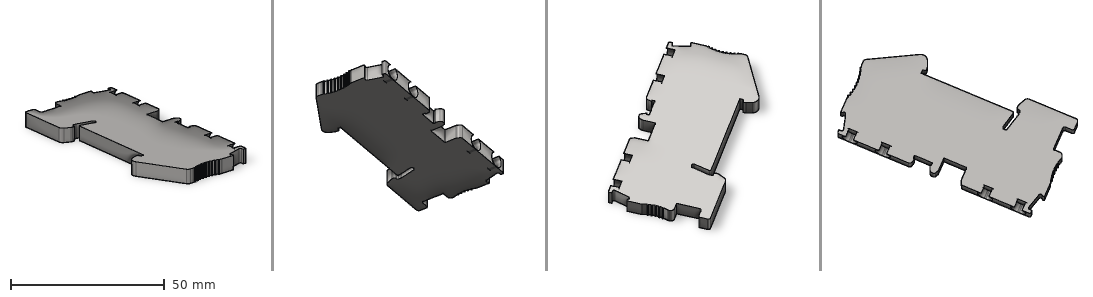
import cadquery as cq
import math

thickness = 5.1
body_left = -36.1
body_right = 36.05
top = 17.6
bottom = -17.6

hook_tip = 34.25
hook_underside = 16.3
hook_root = 32.7
gap_floor_x = 34.5
gap_floor = 9.8
ear_x = 35.55
ear_top = 10.6

pocket_left = -9.0
pocket_right = -0.95
pocket_floor = 11.55
pocket_lead_in = 16.1
recess_left = 1.9
recess_right = 8.2
recess_floor = 14.5
recess_lip = 15.45
lip_overhang = 0.5
pocket_shoulder = -9.75
finger_crest_left = -0.2
finger_crest_right = 1.4
recess_shoulder = 8.15

foot_notch_top = -5.2
foot_notch_bottom = -13.65
foot_notch_wall = -32.5
foot_toe_x = -16.2
foot_shelf = -13.0
foot_toe_bend = -14.3
foot_heel = -17.7

slot_left_bottom = -17.5
slot_left_top = -15.9
slot_right_top = -14.3
slot_right_bottom = -15.8
slot_top = -5.05
slot_bend = -11.4
rail_seat = -11.7

rail_hook_root = 17.1
rail_hook_tip = 16.0
rail_hook_shelf = foot_shelf
rail_hook_bend = -14.15
rail_hook_nose = (17.6, -18.6)
ramp_top = -8.5

left_bay_y = 1.1
left_bay_radius = 13.0
left_bay_depth = 0.8
left_rib_count = 5
right_bay_y = -0.4
right_bay_radius = 15.5
right_bay_depth = 1.15
right_rib_count = 9
rib_pitch = 1.3
rib_height = 0.35
rib_base = 0.6
rib_crest = 0.3
bay_blend = 1.0

hole_offsets = (18.1, 29.9)
hole_radius = 2.7
hole_mouth = 2.75
hole_depth = 2.95
hole_flat = 0.6


def rounded_plate(corners):
    """Plate from (x, y, radius) corners; each nonzero radius becomes a tangent arc."""
    path = None
    for i, (x, y, radius) in enumerate(corners):
        before = cq.Vector(*corners[i - 1][:2])
        after = cq.Vector(*corners[(i + 1) % len(corners)][:2])
        corner = cq.Vector(x, y)
        to_before = (before - corner).normalized()
        to_after = (after - corner).normalized()
        half_angle = to_before.getAngle(to_after) / 2
        setback = radius / math.tan(half_angle)
        start = corner + to_before * setback
        path = path.lineTo(start.x, start.y) if path else cq.Workplane("XY").moveTo(start.x, start.y)
        if radius > 0:
            bisector = (to_before + to_after).normalized()
            middle = corner + bisector * (radius / math.sin(half_angle) - radius)
            end = corner + to_after * setback
            path = path.threePointArc((middle.x, middle.y), (end.x, end.y))
    return path.close().extrude(thickness)


def marker_hook(side, wall):
    """Corners of one upper hook, from its tip down to the side wall; side is -1 or 1."""
    return [
        (side * hook_tip, top, 0.5),
        (side * hook_tip, hook_underside, 0),
        (side * hook_root, hook_underside, 0.5),
        (side * gap_floor_x, gap_floor, 0.6),
        (side * ear_x, ear_top, 0.2),
        (wall, ear_top, 0),
    ]


left_side = marker_hook(-1, body_left) + [
    (body_left, foot_notch_top, 1.3),
    (foot_notch_wall, foot_notch_top, 0),
    (foot_notch_wall, foot_notch_bottom, 0.65),
    (body_left, foot_notch_bottom, 0.65),
    (body_left, bottom, 0.9),
]
lower_side = [
    (foot_heel, bottom, 1.6),
    (foot_toe_x, foot_toe_bend, 1.1),
    (foot_toe_x, foot_shelf, 0.4),
    (slot_left_bottom, foot_shelf, 0.4),
    (slot_left_bottom, slot_bend, 1.1),
    (slot_left_top, slot_top, 0.65),
    (slot_right_top, slot_top, 0.65),
    (slot_right_bottom, rail_seat, 0.4),
    (rail_hook_root, rail_seat, 0),
    (rail_hook_root, rail_hook_shelf, 0.35),
    (rail_hook_tip, rail_hook_shelf, 0.3),
    (rail_hook_tip, rail_hook_bend, 1.1),
    (*rail_hook_nose, 2.3),
    (body_right, ramp_top, 1.3),
]
upper_side = marker_hook(1, body_right)[::-1] + [
    (recess_shoulder, top, 1.1),
    (recess_right - lip_overhang, recess_lip, 0),
    (recess_right, recess_lip, 0),
    (recess_right, recess_floor, 0),
    (recess_left, recess_floor, 0),
    (recess_left, recess_lip, 0),
    (recess_left + lip_overhang, recess_lip, 0),
    (finger_crest_right, top, 1.1),
    (finger_crest_left, top, 0.7),
    (pocket_right, pocket_lead_in, 1.1),
    (pocket_right, pocket_floor, 0),
    (pocket_left, pocket_floor, 0),
    (pocket_left, pocket_lead_in, 1.1),
    (pocket_shoulder, top, 0.7),
]


def grip_bay(plate, wall, side, bay_y, radius, depth, rib_count):
    """Cut a shallow round bay into a side wall, round its rims and stand ribs around it."""
    center_x = wall + side * (radius - depth)
    plate = plate.cut(cq.Workplane("XY").center(center_x, bay_y).circle(radius).extrude(thickness))
    half_chord = math.sqrt(radius**2 - (radius - depth) ** 2)
    for end in (-1, 1):
        rim = cq.selectors.NearestToPointSelector((wall, bay_y + end * half_chord, thickness / 2))
        plate = plate.edges("|Z").edges(rim).fillet(bay_blend)
    foot_x = radius + rib_height / 2
    crest_x = radius - rib_height
    rib = (
        cq.Workplane("XY")
        .polyline([
            (-foot_x, -rib_base / 2),
            (-crest_x, -rib_crest / 2),
            (-crest_x, rib_crest / 2),
            (-foot_x, rib_base / 2),
        ])
        .close()
        .extrude(thickness)
    )
    facing = 0 if side > 0 else 180
    pitch_angle = math.degrees(rib_pitch / radius)
    for i in range(rib_count):
        angle = facing + (i - (rib_count - 1) / 2) * pitch_angle
        placed = rib.rotate((0, 0, 0), (0, 0, 1), angle).translate((center_x, bay_y, 0))
        plate = plate.union(placed)
    return plate


def wire_hole(x):
    """Blind round hole along Y with a narrow flat on its underside."""
    axis_z = thickness - math.sqrt(hole_radius**2 - (hole_mouth / 2) ** 2)
    flat_z = axis_z - math.sqrt(hole_radius**2 - (hole_flat / 2) ** 2)
    profile = (
        cq.Workplane("XZ", origin=(x, top, 0))
        .moveTo(-hole_flat / 2, flat_z)
        .threePointArc((-hole_radius, axis_z), (0, axis_z + hole_radius))
        .threePointArc((hole_radius, axis_z), (hole_flat / 2, flat_z))
        .close()
    )
    return profile.extrude(hole_depth)


result = rounded_plate(left_side + lower_side + upper_side)
result = grip_bay(result, body_left, -1, left_bay_y, left_bay_radius, left_bay_depth, left_rib_count)
result = grip_bay(result, body_right, 1, right_bay_y, right_bay_radius, right_bay_depth, right_rib_count)
for offset in hole_offsets:
    for side in (-1, 1):
        result = result.cut(wire_hole(side * offset))